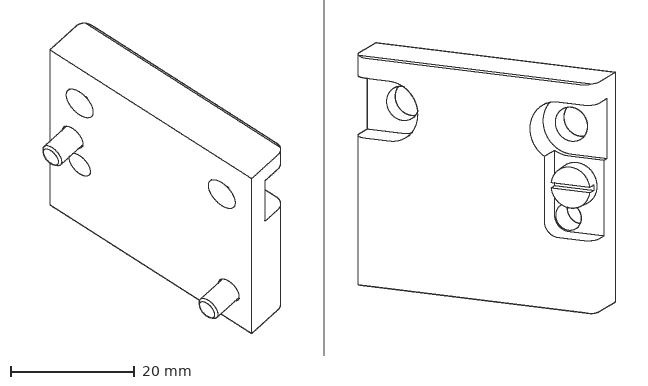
import cadquery as cq

width = 42.6
height = 38.6
thickness = 8.5
side_fillet = 1.9
rear_chamfer_depth = 0.45
rear_chamfer_drop = 0.2

hole_inset = 6.3
left_hole_x = hole_inset
right_hole_x = width - hole_inset
large_hole_z = 30.0
large_hole_diameter = 5.7
small_hole_z = 14.75
small_hole_diameter = 4.5

slot_floor_y = 3.4
slot_radius = 5.03

pocket_floor_y = 4.5
pocket_corner_radius = 2.45
pocket_right_x = left_hole_x + pocket_corner_radius
pocket_bottom_z = small_hole_z - pocket_corner_radius

screw_inset = 4.8
left_screw_x = screw_inset
left_screw_z = 20.45
right_screw_x = width - screw_inset
right_screw_z = 7.25
shank_diameter = 4.0
shank_projection = 5.5
shank_chamfer = 0.4
clearance_diameter = 4.4
head_base_diameter = 7.15
head_top_diameter = 6.9
head_height = 2.5
driver_slot_width = 0.9
driver_slot_depth = 1.45


def box(x0, x1, y0, y1, z0, z1):
    """Box between two corners."""
    return cq.Workplane("XY").box(x1 - x0, y1 - y0, z1 - z0, centered=False).translate((x0, y0, z0))


def rod(x, z, diameter, y0, y1):
    """Cylinder parallel to Y."""
    solid = cq.Solid.makeCylinder(diameter / 2, y1 - y0, cq.Vector(x, y0, z), cq.Vector(0, 1, 0))
    return cq.Workplane(obj=solid)


def make_plate():
    plate = box(0, width, 0, thickness, 0, height)
    plate = plate.edges("|Z and >Y").fillet(side_fillet)
    rear_y = thickness - rear_chamfer_depth
    profile = [
        (0, 0),
        (rear_y, 0),
        (thickness, rear_chamfer_drop),
        (thickness, height - rear_chamfer_drop),
        (rear_y, height),
        (0, height),
    ]
    return plate.intersect(cq.Workplane("YZ").polyline(profile).close().extrude(width))


def make_side_slot(hole_x, edge_x):
    """Recess with a round end about a hole, running out to a side edge."""
    end = rod(hole_x, large_hole_z, 2 * slot_radius, slot_floor_y, thickness)
    run = box(
        min(hole_x, edge_x), max(hole_x, edge_x),
        slot_floor_y, thickness,
        large_hole_z - slot_radius, large_hole_z + slot_radius,
    )
    return end.union(run)


def make_screw_pocket():
    pocket = box(0, pocket_right_x, pocket_floor_y, thickness, pocket_bottom_z, large_hole_z)
    return pocket.edges("|Y and >X and <Z").fillet(pocket_corner_radius)


def make_shank(x, z):
    shank = rod(x, z, shank_diameter, -shank_projection, pocket_floor_y)
    return shank.faces("<Y").chamfer(shank_chamfer)


def make_screw_head(x, z):
    """Slightly tapered round head with a driver slot along X."""
    head_top_y = pocket_floor_y + head_height
    head = cq.Workplane(
        obj=cq.Solid.makeCone(
            head_base_diameter / 2, head_top_diameter / 2, head_height,
            cq.Vector(x, pocket_floor_y, z), cq.Vector(0, 1, 0),
        )
    )
    driver_slot = box(
        x - head_base_diameter, x + head_base_diameter,
        head_top_y - driver_slot_depth, head_top_y,
        z - driver_slot_width / 2, z + driver_slot_width / 2,
    )
    return head.cut(driver_slot)


result = make_plate()

result = result.cut(make_side_slot(left_hole_x, 0))
result = result.cut(make_side_slot(right_hole_x, width))
result = result.cut(make_screw_pocket())

for hole_x in (left_hole_x, right_hole_x):
    result = result.cut(rod(hole_x, large_hole_z, large_hole_diameter, 0, thickness))
result = result.cut(rod(left_hole_x, small_hole_z, small_hole_diameter, 0, thickness))

screw_positions = [(left_screw_x, left_screw_z), (right_screw_x, right_screw_z)]
for x, z in screw_positions:
    result = result.cut(rod(x, z, clearance_diameter, 0, pocket_floor_y))
result = result.union(make_screw_head(left_screw_x, left_screw_z))
for x, z in screw_positions:
    result = result.union(make_shank(x, z))